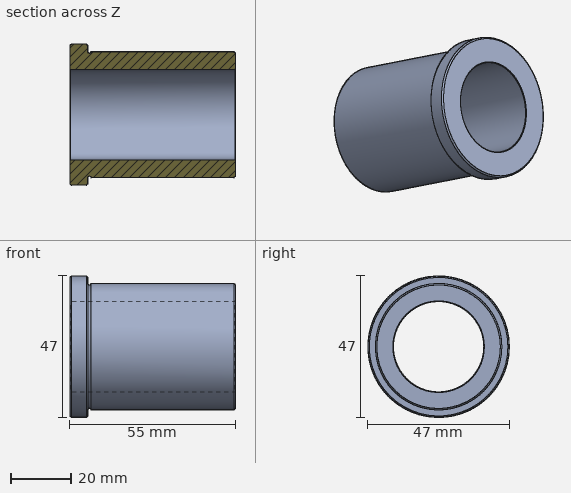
import cadquery as cq

length = 55.0
flange_diameter = 47.0
flange_thickness = 6.0
body_diameter = 42.0
bore_diameter = 30.0
edge_chamfer = 0.5
bore_chamfer = 0.2
chamfer_angle = 45.0
groove_width = 1.0
groove_depth = 0.5

flange_radius = flange_diameter / 2
body_radius = body_diameter / 2
bore_radius = bore_diameter / 2


def flange():
    """Disc with both rims chamfered."""
    disc = cq.Workplane("YZ").circle(flange_radius).extrude(flange_thickness)
    return disc.edges().chamfer(edge_chamfer)


def body():
    """Cylinder running the full length, chamfered at the free end."""
    cylinder = cq.Workplane("YZ").circle(body_radius).extrude(length)
    return cylinder.faces(">X").edges().chamfer(edge_chamfer)


def undercut():
    """Round-bottomed relief ring around the body, against the flange."""
    groove_end = flange_thickness + groove_width
    groove_middle = flange_thickness + groove_width / 2
    profile = (
        cq.Workplane("XY")
        .moveTo(flange_thickness, body_radius)
        .threePointArc((groove_middle, body_radius - groove_depth), (groove_end, body_radius))
        .close()
    )
    return profile.revolve(360, (0, 0, 0), (1, 0, 0))


def bore():
    """Through hole with a small chamfer at each mouth."""
    hole = cq.Workplane("YZ").circle(bore_radius).extrude(length)
    for mouth_x, depth in ((0, bore_chamfer), (length, -bore_chamfer)):
        mouth = cq.Workplane("YZ", origin=(mouth_x, 0, 0)).circle(bore_radius + bore_chamfer)
        hole = hole.union(mouth.extrude(depth, taper=chamfer_angle))
    return hole


result = flange().union(body()).cut(undercut()).cut(bore())